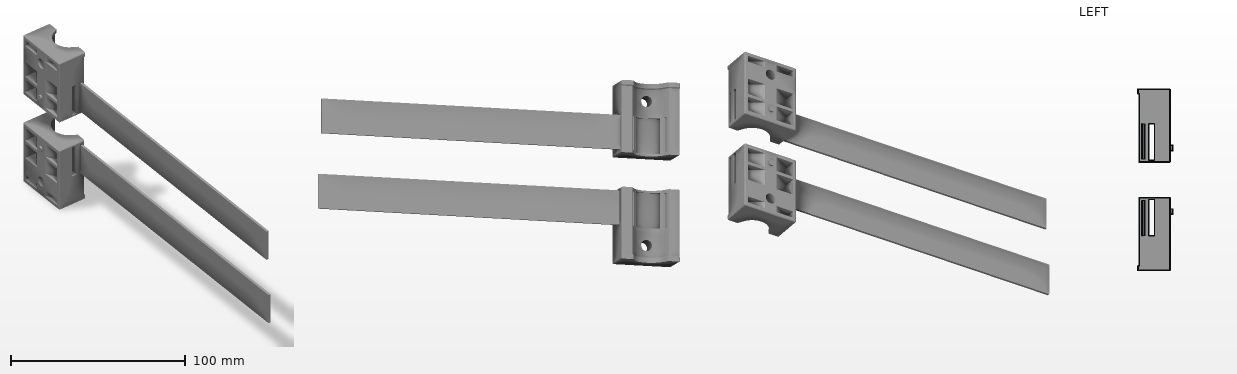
import cadquery as cq
import math


housing_width = 35.0
housing_depth = 18.0
housing_height = 42.0
housing_gap = 20.0
edge_chamfer = 0.5
inner_end = housing_gap / 2
outer_end = inner_end + housing_height
mid_x = housing_width / 2

lip_rise = 0.6
lip_height = 3.2
lip_start = outer_end - lip_height
bevel_end = lip_start + lip_rise
back_y = housing_depth + lip_rise

saddle_radius = 9.7
saddle_depth = 8.6
saddle_side_angle = math.radians(60)

hole_diameter = 6.5
hole_from_outer_end = 10.1
peg_diameter = 3.2
peg_length = 1.3
peg_from_inner_end = 8.2

pocket_margin = 2.2
pocket_width = 11.5
pocket_depth = 7.5
pocket_spans = [(2.5, 11.9), (13.8, 24.1), (35.5, 39.7)]

strap_thickness = 1.5
strap_width = 20.0
strap_length = 180.0
strap_y = 15.5
strap_from_inner_end = 2.0
upper_strap_end = 213.5
lower_strap_end = 215.5
strap_slot_width = 1.7
tie_slot_width = 3.2
tie_slot_y = 10.8
tie_slot_from_inner_end = 1.3
slot_end_from_inner_end = strap_from_inner_end + strap_width


def box(x_range, y_range, z_range):
    """Box between the given limits on each axis."""
    (x0, x1), (y0, y1), (z0, z1) = x_range, y_range, z_range
    return cq.Workplane("XY").box(x1 - x0, y1 - y0, z1 - z0, centered=False).translate((x0, y0, z0))


def make_block():
    """Block with a bevelled lip on its back, chamfered around the front and both side faces."""
    profile = [
        (0, inner_end),
        (housing_depth, inner_end),
        (housing_depth, lip_start),
        (back_y, bevel_end),
        (back_y, outer_end),
        (0, outer_end),
    ]
    block = cq.Workplane("YZ").polyline(profile).close().extrude(housing_width)
    return block.faces("<X or >X or <Y").edges().chamfer(edge_chamfer)


def groove_outline(z, clearance):
    """Groove outline with a round bottom and straight tangent sides, widened by the clearance."""
    radius = saddle_radius + clearance
    floor_y = back_y - saddle_depth - clearance
    tangent_half = radius * math.sin(saddle_side_angle)
    tangent_y = floor_y + radius * (1 - math.cos(saddle_side_angle))
    mouth_half = tangent_half + (back_y - tangent_y) / math.tan(saddle_side_angle)
    return (
        cq.Workplane("XY", origin=(0, 0, z))
        .moveTo(mid_x - mouth_half, back_y)
        .lineTo(mid_x - tangent_half, tangent_y)
        .threePointArc((mid_x, floor_y), (mid_x + tangent_half, tangent_y))
        .lineTo(mid_x + mouth_half, back_y)
        .close()
    )


def make_saddle_cutters():
    """Wide groove below the lip, bevel up to the lip, and narrow groove through the lip."""
    wide_groove = groove_outline(inner_end, lip_rise).extrude(lip_start - inner_end)
    lip_groove = groove_outline(bevel_end, 0).extrude(outer_end - bevel_end)
    bevel_ends = [groove_outline(lip_start, lip_rise).val(), groove_outline(bevel_end, 0).val()]
    bevel = cq.Workplane(cq.Solid.makeLoft(bevel_ends, True))
    return [wide_groove, bevel, lip_groove]


def make_pocket_cutters():
    """Wedges that deepen from the middle of the front face towards both sides."""
    cutters = []
    for start, end in pocket_spans:
        for side in (-1, 1):
            outer_x = mid_x + side * (mid_x - pocket_margin)
            inner_x = outer_x - side * pocket_width
            wedge = (
                cq.Workplane("XY", origin=(0, 0, inner_end + start))
                .polyline([(inner_x, 0), (outer_x, 0), (outer_x, pocket_depth)])
                .close()
                .extrude(end - start)
            )
            cutters.append(wedge)
    return cutters


def make_slot_cutter(center_y, thickness, from_inner_end):
    """Slot through the whole housing along X."""
    return box(
        (0, housing_width),
        (center_y - thickness / 2, center_y + thickness / 2),
        (inner_end + from_inner_end, inner_end + slot_end_from_inner_end),
    )


def make_screw_hole_cutter():
    """Round hole along Y through the middle of the housing."""
    hole_z = outer_end - hole_from_outer_end
    return cq.Workplane("XZ", origin=(mid_x, 0, hole_z)).circle(hole_diameter / 2).extrude(-back_y)


def make_peg():
    """Round peg sticking out of the front face."""
    peg_z = inner_end + peg_from_inner_end
    return cq.Workplane("XZ", origin=(mid_x, 0, peg_z)).circle(peg_diameter / 2).extrude(peg_length)


def make_housing():
    """Upper housing."""
    housing = make_block()
    for cutter in make_saddle_cutters() + make_pocket_cutters():
        housing = housing.cut(cutter)
    housing = housing.cut(make_slot_cutter(tie_slot_y, tie_slot_width, tie_slot_from_inner_end))
    housing = housing.cut(make_slot_cutter(strap_y, strap_slot_width, strap_from_inner_end))
    housing = housing.cut(make_screw_hole_cutter())
    return housing.union(make_peg())


def make_strap(end_x):
    """Upper strap ending at the given X."""
    return box(
        (end_x - strap_length, end_x),
        (strap_y - strap_thickness / 2, strap_y + strap_thickness / 2),
        (inner_end + strap_from_inner_end, inner_end + slot_end_from_inner_end),
    )


upper_housing = make_housing()
lower_housing = upper_housing.mirror("XY")
upper_strap = make_strap(upper_strap_end)
lower_strap = make_strap(lower_strap_end).mirror("XY")

result = cq.Compound.makeCompound(
    [upper_housing.val(), lower_housing.val(), upper_strap.val(), lower_strap.val()]
)